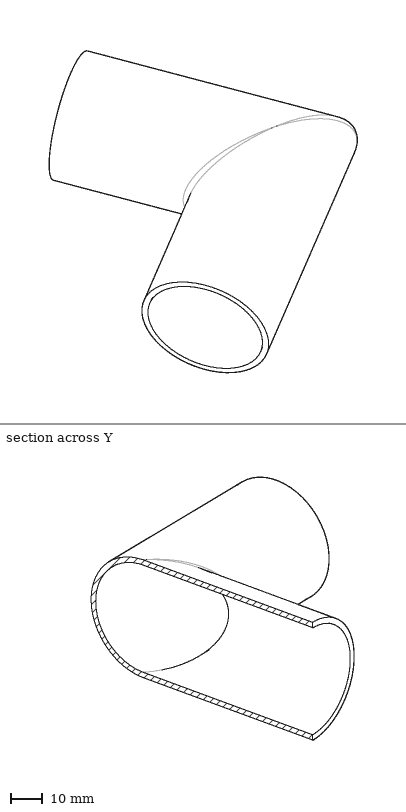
import cadquery as cq

leg_length = 88.5
outer_diameter = 42.0
bore_diameter = 38.0
wall = (outer_diameter - bore_diameter) / 2
miter_fillet = wall

axis_length = leg_length - outer_diameter / 2

smooth_band = 1.8

center_tolerance = 0.001


def mitered_elbow(diameter):
    """Two rods along -X and -Y that meet on the plane x = y."""
    reach = 2 * leg_length
    x_side = (
        cq.Workplane("XY")
        .polyline([(-reach, -reach), (reach, reach), (-reach, reach)])
        .close()
        .extrude(diameter, both=True)
    )
    x_rod = cq.Workplane("YZ", origin=(-axis_length, 0, 0)).circle(diameter / 2).extrude(reach)
    y_rod = cq.Workplane("XZ", origin=(0, -axis_length, 0)).circle(diameter / 2).extrude(-reach)
    return x_rod.intersect(x_side).union(y_rod.cut(x_side))


def diagonal_slab(start, end):
    """Block between two planes square to the miter, placed along the outward diagonal."""
    width = 4 * leg_length
    return (
        cq.Workplane("XY")
        .rect(end - start, width)
        .extrude(leg_length, both=True)
        .translate(((start + end) / 2, 0, 0))
        .rotate((0, 0, 0), (0, 0, 1), 45)
    )


def round_miter(piece):
    """Fillet the miter edge, the only elliptical edge centered on the origin."""
    ellipses = piece.edges("%ELLIPSE").vals()
    miter_edges = [edge for edge in ellipses if edge.arcCenter().Length < center_tolerance]
    return piece.newObject(miter_edges).fillet(miter_fillet)


elbow = mitered_elbow(outer_diameter)

half_band = smooth_band / 2
diagonal_reach = 2 * leg_length
outer_piece = elbow.intersect(diagonal_slab(half_band, diagonal_reach))
inner_piece = elbow.intersect(diagonal_slab(-diagonal_reach, -half_band))
outer_sliver = outer_piece.cut(round_miter(outer_piece))
inner_sliver = round_miter(inner_piece).cut(inner_piece)

bore = mitered_elbow(bore_diameter)
result = elbow.cut(outer_sliver).union(inner_sliver).cut(bore)